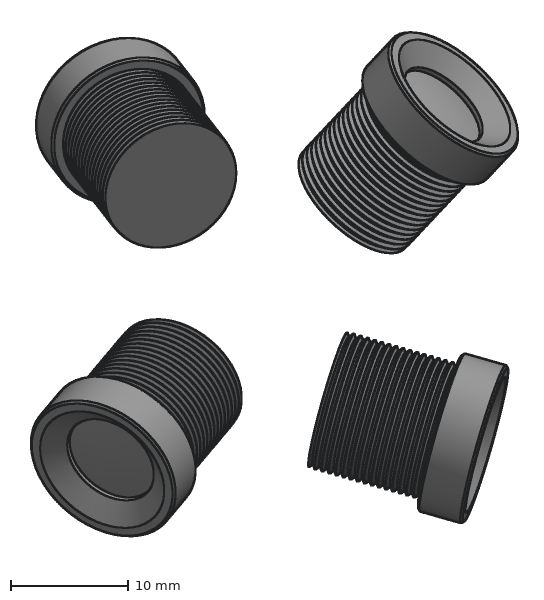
import cadquery as cq
import math

total_length = 13.99
head_diameter = 14.0
head_length = 4.0
head_chamfer = 0.2

thread_diameter = 12.0
groove_count = 16
thread_overrun = 0.05
thread_depth = 0.36
crest_width = 0.07
root_width = 0.03

bowl_rim_diameter = 12.0
bowl_depth = 1.5
seat_diameter = 8.37
seat_depth = 0.45
lens_bulge = 0.4

thread_length = total_length - head_length
thread_pitch = (thread_length + thread_overrun) / groove_count

head_radius = head_diameter / 2
thread_radius = thread_diameter / 2
seat_radius = seat_diameter / 2
seat_floor = bowl_depth + seat_depth


def revolve_about_x(profile):
    return profile.close().revolve(360, (0, 0, 0), (1, 0, 0))


def make_head():
    head = cq.Workplane("YZ").circle(head_radius).extrude(head_length)
    return head.edges().chamfer(head_chamfer)


def make_barrel():
    return cq.Workplane("YZ").circle(thread_radius).extrude(total_length)


def make_thread_groove(center_x):
    """Ring with a flat-bottomed V section, centred between two thread crests."""
    half_root = root_width / 2
    half_mouth = (thread_pitch - crest_width) / 2
    clearance = 0.07
    half_outer = half_mouth + clearance * (half_mouth - half_root) / thread_depth
    outer_radius = thread_radius + clearance
    root_radius = thread_radius - thread_depth
    profile = (
        cq.Workplane("XY")
        .moveTo(center_x - half_outer, outer_radius)
        .lineTo(center_x - half_root, root_radius)
        .lineTo(center_x + half_root, root_radius)
        .lineTo(center_x + half_outer, outer_radius)
    )
    return revolve_about_x(profile)


def make_front_recess():
    """Flared bowl and short straight seat, ending on the domed lens face."""
    dome_radius = (seat_radius**2 + lens_bulge**2) / (2 * lens_bulge)
    half_seat_radius = seat_radius / 2
    dome_center = seat_floor - lens_bulge + dome_radius
    dome_mid_x = dome_center - math.sqrt(dome_radius**2 - half_seat_radius**2)
    profile = (
        cq.Workplane("XY")
        .lineTo(0, bowl_rim_diameter / 2)
        .lineTo(bowl_depth, seat_radius)
        .lineTo(seat_floor, seat_radius)
        .threePointArc((dome_mid_x, half_seat_radius), (seat_floor - lens_bulge, 0))
    )
    return revolve_about_x(profile)


barrel = make_barrel()
for index in range(groove_count):
    barrel = barrel.cut(make_thread_groove(head_length + (index + 0.5) * thread_pitch))

result = barrel.union(make_head()).cut(make_front_recess())